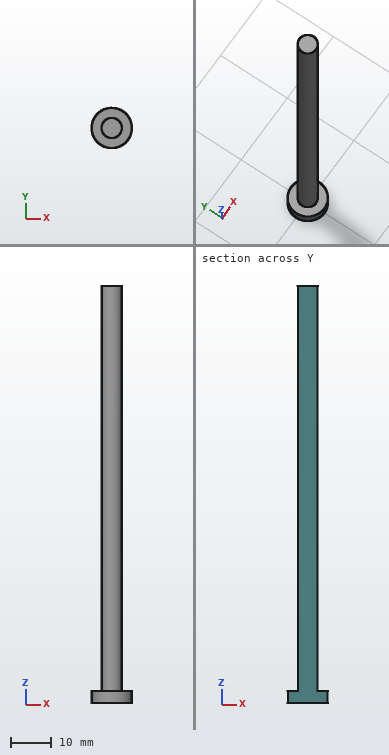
import cadquery as cq

head_diameter = 10.0
head_thickness = 3.0
shaft_diameter = 5.0
shaft_length = 100.0


def make_head():
    """Flat disc with its top face on the XY plane."""
    return cq.Workplane("XY").circle(head_diameter / 2).extrude(-head_thickness)


def make_shaft():
    """Plain round shaft rising from the top face of the head."""
    return cq.Workplane("XY").circle(shaft_diameter / 2).extrude(shaft_length)


result = make_head().union(make_shaft())